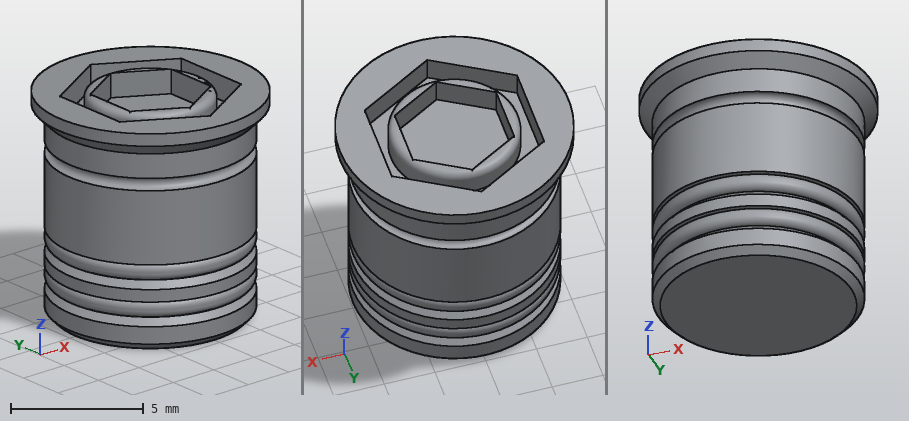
import cadquery as cq
import math

height = 9.0
flange_radius = 4.5
body_diameter = 8.0
body_radius = body_diameter / 2
flange_thickness = 0.5
bottom_chamfer = 0.3

neck_groove_radius = 0.25
neck_groove_top = height - 2.0
neck_groove_depth = 0.315

ring_height = 0.7
ring_thickness = 0.7
ring_fillet = 0.3
ring_bottoms = [1.3, 2.8]
ring_inner_radius = body_radius - ring_thickness
groove_lead_in = 0.3

recess_across_flats = 6.0
recess_depth = 1.0
boss_radius = 2.5
boss_fillet = 0.3
socket_across_flats = 4.0
socket_depth = 1.0


def hexagon_prism(across_flats, depth):
    """Hexagonal prism hanging from the top face, with corners on the Y axis."""
    across_corners = across_flats / math.cos(math.radians(30))
    prism = cq.Workplane("XY").polygon(6, across_corners).extrude(depth)
    return prism.rotate((0, 0, 0), (0, 0, 1), 30).translate((0, 0, height - depth))


def make_blank():
    """Turned outside shape: chamfered cylinder with a conical flange."""
    flange_bottom = height - flange_thickness
    cone_bottom = flange_bottom - (flange_radius - body_radius)
    return (
        cq.Workplane("XZ")
        .lineTo(body_radius - bottom_chamfer, 0)
        .lineTo(body_radius, bottom_chamfer)
        .lineTo(body_radius, cone_bottom)
        .lineTo(flange_radius, flange_bottom)
        .lineTo(flange_radius, height)
        .lineTo(0, height)
        .close()
        .revolve()
    )


def make_neck_groove():
    """Turned cutter with a semicircular floor and short straight sides."""
    arc_start = body_radius - neck_groove_depth + neck_groove_radius
    middle = neck_groove_top - neck_groove_radius
    bottom = middle - neck_groove_radius
    return (
        cq.Workplane("XZ")
        .moveTo(flange_radius, neck_groove_top)
        .lineTo(arc_start, neck_groove_top)
        .threePointArc((body_radius - neck_groove_depth, middle), (arc_start, bottom))
        .lineTo(flange_radius, bottom)
        .close()
        .revolve(360, (0, 0), (0, 1))
    )


def make_ring_groove(bottom):
    """Turned cutter for one ring seat, opening downwards through a cone."""
    top = bottom + ring_height
    return (
        cq.Workplane("XZ")
        .moveTo(ring_inner_radius, bottom)
        .lineTo(body_radius - groove_lead_in, bottom)
        .lineTo(body_radius, bottom - groove_lead_in)
        .lineTo(body_radius, top)
        .lineTo(ring_inner_radius, top)
        .close()
        .revolve(360, (0, 0), (0, 1))
    )


def make_ring(bottom):
    """Sealing ring with rounded outer edges."""
    ring = cq.Workplane("XY").circle(body_radius).extrude(ring_height)
    ring = ring.edges("%CIRCLE").fillet(ring_fillet)
    bore = cq.Workplane("XY").circle(ring_inner_radius).extrude(ring_height)
    return ring.cut(bore).translate((0, 0, bottom))


def make_boss():
    """Round boss standing on the recess floor, flush with the top face."""
    boss = cq.Workplane("XY").circle(boss_radius).extrude(recess_depth)
    boss = boss.faces(">Z").edges().fillet(boss_fillet)
    return boss.translate((0, 0, height - recess_depth))


def make_plug():
    plug = make_blank().cut(make_neck_groove())
    for bottom in ring_bottoms:
        plug = plug.cut(make_ring_groove(bottom))
    plug = plug.cut(hexagon_prism(recess_across_flats, recess_depth))
    plug = plug.union(make_boss())
    return plug.cut(hexagon_prism(socket_across_flats, socket_depth))


plug = make_plug()
rings = [make_ring(bottom) for bottom in ring_bottoms]

result = cq.Compound.makeCompound([plug.solids().val(), *[ring.val() for ring in rings]])